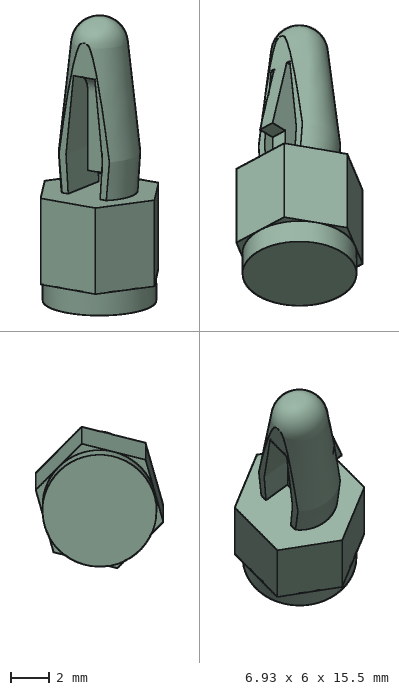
import cadquery as cq
import math

base_width = 6.0
foot_height = 1.3
body_top = 6.0

total_height = 15.5
shoulder_z = 8.12
pin_root_radius = 2.02
shoulder_radius = 2.15
dome_radius = 1.5
flat_half_width = 1.45

slot_top = 12.5
slot_top_width = 1.35
slot_shoulder_width = 2.3
slot_root_width = 2.02

tongue_width = 0.91
tongue_bottom = 7.13
tongue_front = -0.43
tongue_back = 1.57
barb_tip = 2.54
tongue_fillet = 0.99


def make_base():
    across_corners = base_width / math.cos(math.pi / 6)
    foot = cq.Workplane("XY").circle(base_width / 2).extrude(foot_height)
    body = (
        cq.Workplane("XY", origin=(0, 0, foot_height))
        .polygon(6, across_corners)
        .extrude(body_top - foot_height)
    )
    return foot.union(body)


def make_barrel():
    dome_center_z = total_height - dome_radius
    rise = dome_center_z - shoulder_z
    distance = math.hypot(shoulder_radius, rise)
    tangent_angle = math.acos(dome_radius / distance) - math.atan2(rise, shoulder_radius)
    middle_angle = (tangent_angle + math.pi / 2) / 2

    def dome_point(angle):
        return dome_radius * math.cos(angle), dome_center_z + dome_radius * math.sin(angle)

    barrel = (
        cq.Workplane("XZ")
        .moveTo(0, body_top)
        .lineTo(pin_root_radius, body_top)
        .lineTo(shoulder_radius, shoulder_z)
        .lineTo(*dome_point(tangent_angle))
        .threePointArc(dome_point(middle_angle), (0, total_height))
        .close()
        .revolve(360, (0, 0, 0), (0, 1, 0))
    )
    between_flats = cq.Workplane("XY").box(
        2 * shoulder_radius, 2 * flat_half_width, total_height, centered=(True, True, False)
    )
    return barrel.intersect(between_flats)


def make_slot():
    right_side = [
        (slot_root_width / 2, body_top),
        (slot_shoulder_width / 2, shoulder_z),
        (slot_top_width / 2, slot_top),
    ]
    left_side = [(-x, z) for x, z in reversed(right_side)]
    return (
        cq.Workplane("XZ")
        .polyline(right_side + left_side)
        .close()
        .extrude(flat_half_width, both=True)
    )


def make_tongue():
    arc_center_y = tongue_front - tongue_fillet
    arc_center_z = slot_top - tongue_fillet
    arc_middle = (
        arc_center_y + tongue_fillet * math.cos(math.pi / 4),
        arc_center_z + tongue_fillet * math.sin(math.pi / 4),
    )
    return (
        cq.Workplane("YZ")
        .moveTo(tongue_front, tongue_bottom)
        .lineTo(tongue_back, tongue_bottom)
        .lineTo(tongue_back, shoulder_z)
        .lineTo(barb_tip, shoulder_z)
        .lineTo(flat_half_width, slot_top)
        .lineTo(arc_center_y, slot_top)
        .threePointArc(arc_middle, (tongue_front, arc_center_z))
        .close()
        .extrude(tongue_width / 2, both=True)
    )


pin = make_barrel().cut(make_slot()).union(make_tongue())
result = make_base().union(pin)